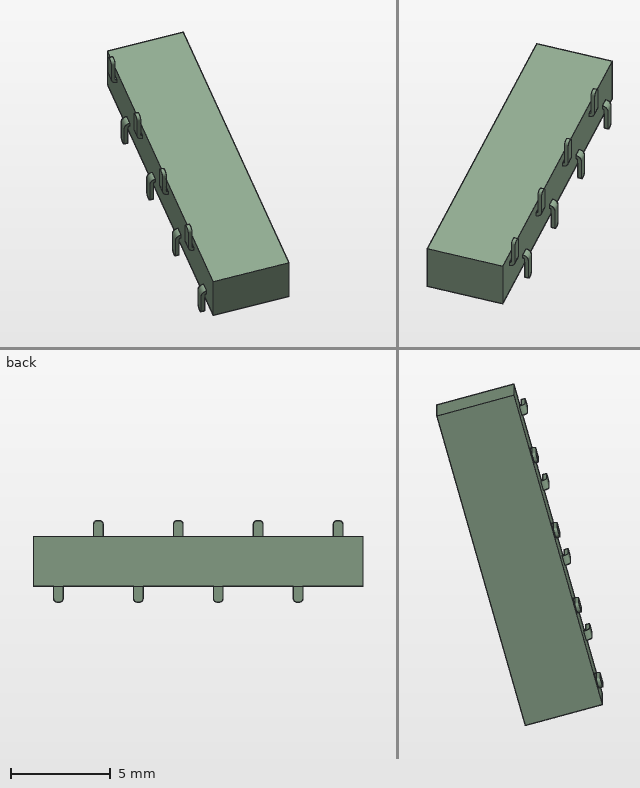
import cadquery as cq

length = 16.5
overall_depth = 4.3
overall_height = 4.1

pin_count = 8
end_to_pin = 1.25
pin_width = 0.5
pin_thickness = 0.2
pin_height = 1.57
bend_outer_radius = 0.3
bend_inner_radius = bend_outer_radius - pin_thickness
tip_radius = 0.2

body_depth = overall_depth - bend_outer_radius
body_height = 2.5

pin_pitch = (length - 2 * end_to_pin) / (pin_count - 1)
bend_z = overall_height / 2 - pin_height
tip_z = overall_height / 2


def make_body():
    """Plain block with its front face at Y = 0, centred in X and Z."""
    return cq.Workplane("XY").box(
        length, body_depth, body_height, centered=(True, False, True)
    )


def make_upward_pin():
    """Pin that leaves the front face, bends a quarter turn and rises along Z."""
    straight_z = bend_z + bend_outer_radius
    return (
        cq.Workplane("YZ")
        .moveTo(0, bend_z)
        .radiusArc((-bend_outer_radius, straight_z), bend_outer_radius)
        .lineTo(-bend_outer_radius, tip_z)
        .lineTo(-bend_inner_radius, tip_z)
        .lineTo(-bend_inner_radius, straight_z)
        .radiusArc((0, bend_z + pin_thickness), -bend_inner_radius)
        .close()
        .extrude(pin_width / 2, both=True)
        .faces(">Z")
        .edges("|Y")
        .fillet(tip_radius)
    )


upward_pin = make_upward_pin()
downward_pin = upward_pin.mirror("XY")

result = make_body()
for index in range(pin_count):
    pin = upward_pin if index % 2 == 0 else downward_pin
    pin_x = -length / 2 + end_to_pin + index * pin_pitch
    result = result.union(pin.translate((pin_x, 0, 0)))